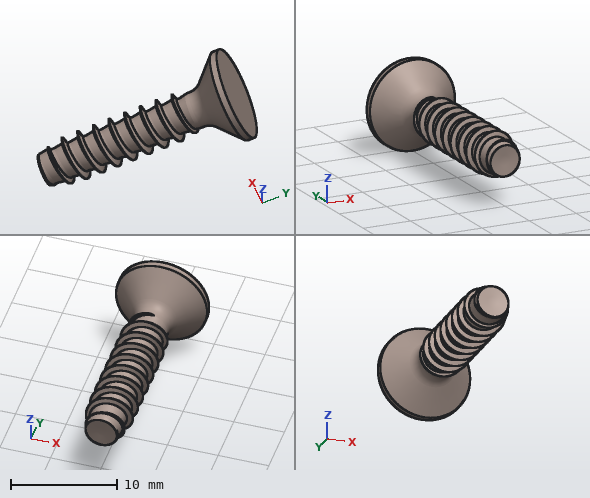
import cadquery as cq
import math


length = 20.0
head_radius = 4.5
rim_height = 0.7
cone_angle = math.radians(45)

neck_radius = 1.77
neck_fillet = 1.75
neck_end = 4.52

core_radius = 1.6
neck_taper_length = 0.74
tip_radius = 1.55
tip_taper_length = 0.6
tip_dish_depth = 0.15

pitch = 1.627
crest_radius = 2.25
crest_half_width = 0.03
upper_flank_width = 0.28
lower_flank_width = 0.25
shoulder_radius = 1.76
shoulder_length = 1.05
overrun = 1.0
buried_depth = 0.3
full_turns = 7
full_thread_top = 6.14
runin_turns = 1.25
runin_drop = 0.44
runout_turns = 1.5
runout_drop = 0.65
full_thread_end_angle = -90


def make_body():
    """Solid of revolution: head, filleted neck and core, the core overlong at the tip."""
    fillet_top_radius = neck_radius + neck_fillet * (1 - math.cos(cone_angle))
    fillet_top = -rim_height - (head_radius - fillet_top_radius) / math.tan(cone_angle)
    fillet_bottom = fillet_top - neck_fillet * math.sin(cone_angle)
    half_angle = cone_angle / 2
    fillet_mid = (
        neck_radius + neck_fillet * (1 - math.cos(half_angle)),
        fillet_bottom + neck_fillet * math.sin(half_angle),
    )
    return (
        cq.Workplane("XZ")
        .moveTo(0, 0)
        .lineTo(head_radius, 0)
        .lineTo(head_radius, -rim_height)
        .lineTo(fillet_top_radius, fillet_top)
        .threePointArc(fillet_mid, (neck_radius, fillet_bottom))
        .lineTo(neck_radius, -neck_end)
        .lineTo(core_radius, -neck_end - neck_taper_length)
        .lineTo(core_radius, -length - overrun)
        .lineTo(0, -length - overrun)
        .close()
        .revolve(360, (0, 0, 0), (0, 1, 0))
    )


buried_radius = core_radius - buried_depth
flank_stretch = (crest_radius - buried_radius) / (crest_radius - core_radius)
ridge_section = [
    (buried_radius, crest_half_width + flank_stretch * (upper_flank_width - crest_half_width)),
    (crest_radius, crest_half_width),
    (crest_radius, -crest_half_width),
    (buried_radius, -crest_half_width - flank_stretch * (lower_flank_width - crest_half_width)),
]
shoulder_section = [
    (buried_radius, 0),
    (shoulder_radius, 0),
    (core_radius, -shoulder_length),
    (buried_radius, -shoulder_length),
]


def helix(radius, bottom, turns, growth):
    """Right-hand helix from +X upward; its radius changes by growth over its height."""
    height = turns * pitch
    base = cq.Vector(0, 0, bottom)
    if growth == 0:
        return cq.Wire.makeHelix(pitch, height, radius, base)
    taper = math.atan2(growth, height)
    slant = 1 / math.cos(taper)
    return cq.Wire.makeHelix(
        pitch * slant, height * slant, radius, base, angle=math.degrees(taper)
    )


def make_thread(section, bottom, turns, start_angle, bottom_drop=0.0, top_drop=0.0):
    """Helical stretch whose section is sunk by the given drops at its two ends."""
    growth = bottom_drop - top_drop
    helices = [helix(r - bottom_drop, bottom + z, turns, growth) for r, z in section]
    faces = [
        cq.Face.makeRuledSurface(first, second)
        for first, second in zip(helices, helices[1:] + helices[:1])
    ]
    for end in (0, 1):
        corners = [wire.positionAt(end) for wire in helices]
        faces.append(cq.Face.makeFromWires(cq.Wire.makePolygon(corners, close=True)))
    shell = cq.Shell.makeShell(faces)
    solid = cq.Solid.makeSolid(shell).fix()
    return solid.rotate(cq.Vector(0, 0, 0), cq.Vector(0, 0, 1), start_angle)


def make_tip_cutter():
    """Everything beyond the tip: its dished face and the taper around it."""
    taper_top = -length + tip_taper_length
    cutter_bottom = -length - 2 * overrun
    return (
        cq.Workplane("XZ")
        .moveTo(0, -length + tip_dish_depth)
        .lineTo(tip_radius, -length)
        .lineTo(shoulder_radius, taper_top)
        .lineTo(head_radius, taper_top)
        .lineTo(head_radius, cutter_bottom)
        .lineTo(0, cutter_bottom)
        .close()
        .revolve(360, (0, 0, 0), (0, 1, 0))
    )


full_top = -full_thread_top
full_bottom = full_top - full_turns * pitch
runout_bottom = full_bottom - runout_turns * pitch
runout_angle = full_thread_end_angle - 360 * runout_turns
all_turns = runin_turns + full_turns + runout_turns

full_ridge = make_thread(ridge_section, full_bottom, full_turns, full_thread_end_angle)
runin_ridge = make_thread(
    ridge_section, full_top, runin_turns, full_thread_end_angle, top_drop=runin_drop
)
runout_ridge = make_thread(
    ridge_section, runout_bottom, runout_turns, runout_angle, bottom_drop=runout_drop
)
shoulder = make_thread(shoulder_section, runout_bottom, all_turns, runout_angle)

above_thread = cq.Workplane("XY").circle(head_radius).extrude(-neck_end)
runin_ridge = runin_ridge.cut(above_thread.val())

screw = cq.Workplane(make_body().val().fuse(shoulder, full_ridge, runin_ridge, runout_ridge))
screw = screw.cut(make_tip_cutter())
result = screw.solids().rotate((0, 0, 0), (1, 0, 0), -90)